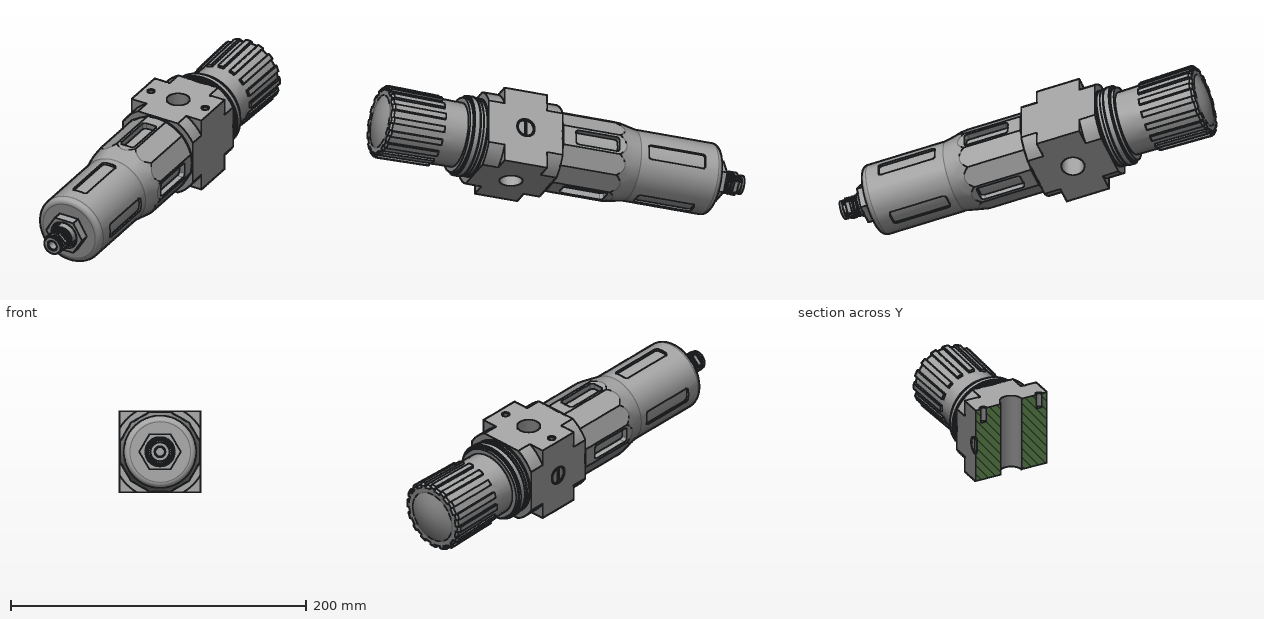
import cadquery as cq
import math

CROWN_Y = 133.4
KNOB_SHOULDER_Y = 130.0
RIB_END_Y = 91.2
COLLAR_TOP_Y = 74.1
BLOCK_CENTER_Y = 34.5
BLOCK_LENGTH = 54.0
BOWL_CONE_END_Y = -51.0
BOWL_BOTTOM_Y = -111.2
HEX_END_Y = -117.5
DRAIN_TIP_Y = -133.4

BLOCK_TOP_Y = BLOCK_CENTER_Y + BLOCK_LENGTH / 2
BLOCK_BOTTOM_Y = BLOCK_CENTER_Y - BLOCK_LENGTH / 2

SKIRT_RADIUS = 22.1
FLUTE_TOP_RADIUS = 23.2
KNOB_CHAMFER = 1.5
RIB_COUNT = 16
RIB_WIDTH = 4.0
RIB_TOP_RADIUS = 24.8
RIB_END_RADIUS = 24.0
CROWN_BASE_RADIUS = 18.1
CROWN_RISE = CROWN_Y - KNOB_SHOULDER_Y

BLOCK_WIDTH = 55.0
CORNER_RADIUS = 31.6
CORNER_CUT_LENGTH = 11.5
GRIP_RING_RADIUS = BLOCK_WIDTH / 2
GRIP_RING_CHAMFER = 0.8
COLLAR_STEPS = [
    (25.5, COLLAR_TOP_Y),
    (GRIP_RING_RADIUS, 72.0),
    (27.0, 66.7),
    (26.5, 64.5),
    (27.0, 62.1),
]
MAIN_PORT_DIAMETER = 15.7
SCREW_HOLE_DIAMETER = 4.0
SCREW_HOLE_RIM_DIAMETER = 5.3
SCREW_HOLE_DEPTH = 10.7
SCREW_HOLE_OFFSET = 21.3
PLUG_DIAMETER = 11.5
PLUG_RIM_DIAMETER = 13.0
PLUG_SLOT_WIDTH = 1.5
PLUG_SLOT_LENGTH = 9.5
PLUG_SLOT_DEPTH = 1.3

BOWL_RADIUS = 24.5
BOWL_LIP_RADIUS = 27.0
BOWL_LIP_HEIGHT = 0.8
BOWL_SIDES = 12
BOWL_APOTHEM = 27.0
BOWL_CORNER_RADIUS = BOWL_APOTHEM / math.cos(math.pi / BOWL_SIDES)
BOWL_CONE_START_Y = -34.7
BOWL_BOTTOM_FILLET = 4.0
WINDOW_WIDTH = 10.7
WINDOW_CORNER_RADIUS = 2.1
WINDOW_FLOOR_RADIUS = 23.0
WINDOW_SPANS = [(-34.1, -2.5), (-98.0, -56.5)]
WINDOW_COUNT = 4
HEX_HALF_FLATS = 11.7
HEX_HALF_CORNERS = 14.1
HEX_HALF_SIDE = 7.2
DRAIN_BORE_DIAMETER = 18.0
DRAIN_BORE_RIM_DIAMETER = 20.0

STEM_RADIUS = 7.87
STEM_GROOVE_RADIUS = 6.5
STEM_NECK_RADIUS = 5.5
STEM_FLAT_DISTANCE = 6.8
STEM_FLATS_START_Y = -120.5
STEM_GROOVES = [(-123.5, -122.0), (-126.0, -124.3)]
STEM_SLOT_WIDTH = 1.5
STEM_SLOT_FLOOR_RADIUS = 4.8
STEM_SHOULDER_Y = -129.0
STEM_TIP_RING_Y = -131.5
STEM_BORE_DIAMETER = 6.5
STEM_BORE_RIM_DIAMETER = 7.5
STEM_BORE_DEPTH = 13.3


def disc(radius, y_low, y_high):
    """Cylinder about the Y axis between two stations."""
    return cq.Workplane("XZ", origin=(0, y_high, 0)).circle(radius).extrude(y_high - y_low)


def turned(points):
    """Solid of revolution about Y from (radius, y) points, closed along the axis."""
    return cq.Workplane("XY").polyline(points).close().revolve(360, (0, 0, 0), (0, 1, 0))


def rimmed_hole(plane, origin, diameter, rim_diameter, depth):
    """Cutter for a blind hole with a 45 degree rim, running against the plane's normal."""
    rim_depth = (rim_diameter - diameter) / 2
    workplane = cq.Workplane(plane, origin=origin)
    hole = workplane.circle(diameter / 2).extrude(-depth)
    rim = workplane.circle(rim_diameter / 2).extrude(-rim_depth, taper=45)
    return hole.union(rim)


def make_knob():
    body = turned([
        (0, COLLAR_TOP_Y),
        (SKIRT_RADIUS, COLLAR_TOP_Y),
        (FLUTE_TOP_RADIUS, KNOB_SHOULDER_Y - KNOB_CHAMFER),
        (FLUTE_TOP_RADIUS - KNOB_CHAMFER, KNOB_SHOULDER_Y),
        (0, KNOB_SHOULDER_Y),
    ])

    rib_envelope = turned([
        (0, RIB_END_Y),
        (RIB_END_RADIUS, RIB_END_Y),
        (RIB_TOP_RADIUS, KNOB_SHOULDER_Y - KNOB_CHAMFER),
        (RIB_TOP_RADIUS - KNOB_CHAMFER, KNOB_SHOULDER_Y),
        (0, KNOB_SHOULDER_Y),
    ])
    bars = cq.Workplane("XY")
    rib_length = KNOB_SHOULDER_Y - RIB_END_Y
    for index in range(RIB_COUNT // 2):
        bar = (
            cq.Workplane("XY")
            .box(2 * RIB_TOP_RADIUS, rib_length, RIB_WIDTH)
            .translate((0, RIB_END_Y + rib_length / 2, 0))
            .rotate((0, 0, 0), (0, 1, 0), index * 360 / RIB_COUNT)
        )
        bars = bars.union(bar)
    body = body.union(bars.intersect(rib_envelope))

    sphere_radius = (CROWN_BASE_RADIUS**2 + CROWN_RISE**2) / (2 * CROWN_RISE)
    half_base = CROWN_BASE_RADIUS / 2
    half_y = CROWN_Y - sphere_radius + math.sqrt(sphere_radius**2 - half_base**2)
    crown = (
        cq.Workplane("XY")
        .moveTo(0, KNOB_SHOULDER_Y - KNOB_CHAMFER)
        .lineTo(CROWN_BASE_RADIUS, KNOB_SHOULDER_Y - KNOB_CHAMFER)
        .lineTo(CROWN_BASE_RADIUS, KNOB_SHOULDER_Y)
        .threePointArc((half_base, half_y), (0, CROWN_Y))
        .close()
        .revolve(360, (0, 0, 0), (0, 1, 0))
    )
    return body.union(crown)


def make_housing():
    block = cq.Workplane("XY").box(BLOCK_WIDTH, BLOCK_LENGTH, BLOCK_WIDTH).translate((0, BLOCK_CENTER_Y, 0))

    for end_y, inward in ((BLOCK_TOP_Y, -1), (BLOCK_BOTTOM_Y, 1)):
        low, high = sorted((end_y, end_y + inward * CORNER_CUT_LENGTH))
        ring = disc(BLOCK_WIDTH, low, high).cut(disc(CORNER_RADIUS, low, high))
        block = block.cut(ring)

    lower_ends = [upper_y for _, upper_y in COLLAR_STEPS[1:]] + [BLOCK_TOP_Y]
    for (radius, upper_y), lower_y in zip(COLLAR_STEPS, lower_ends):
        step = disc(radius, lower_y, upper_y)
        if radius == GRIP_RING_RADIUS:
            step = step.edges().chamfer(GRIP_RING_CHAMFER)
        block = block.union(step)

    port = (
        cq.Workplane("XY", origin=(0, BLOCK_CENTER_Y, 0))
        .circle(MAIN_PORT_DIAMETER / 2)
        .extrude(BLOCK_WIDTH / 2, both=True)
    )
    block = block.cut(port)
    for x in (-SCREW_HOLE_OFFSET, SCREW_HOLE_OFFSET):
        top_point = (x, BLOCK_CENTER_Y, BLOCK_WIDTH / 2)
        block = block.cut(
            rimmed_hole("XY", top_point, SCREW_HOLE_DIAMETER, SCREW_HOLE_RIM_DIAMETER, SCREW_HOLE_DEPTH)
        )
    return block.cut(plug_recess())


def plug_recess():
    """Conical ring around the plug face and the screwdriver slot across it, on the -X side."""
    face_x = -BLOCK_WIDTH / 2
    rim_depth = (PLUG_RIM_DIAMETER - PLUG_DIAMETER) / 2
    outward = cq.Workplane("YZ", origin=(face_x, BLOCK_CENTER_Y, 0))
    ring = outward.circle(PLUG_RIM_DIAMETER / 2).extrude(rim_depth, taper=45)
    ring = ring.cut(outward.circle(PLUG_DIAMETER / 2).extrude(rim_depth))
    slot = outward.rect(PLUG_SLOT_WIDTH, PLUG_SLOT_LENGTH).extrude(PLUG_SLOT_DEPTH)
    return ring.union(slot)


def make_bowl():
    prism_top_y = BLOCK_BOTTOM_Y - BOWL_LIP_HEIGHT
    cone_slope = (BOWL_CORNER_RADIUS - BOWL_RADIUS) / (BOWL_CONE_START_Y - BOWL_CONE_END_Y)
    cone_top_radius = BOWL_RADIUS + cone_slope * (prism_top_y - BOWL_CONE_END_Y)
    round_body = turned([
        (0, BOWL_BOTTOM_Y),
        (BOWL_RADIUS, BOWL_BOTTOM_Y),
        (BOWL_RADIUS, BOWL_CONE_END_Y),
        (cone_top_radius, prism_top_y),
        (0, prism_top_y),
    ])
    prism = (
        cq.Workplane("XZ", origin=(0, prism_top_y, 0))
        .polygon(BOWL_SIDES, 2 * BOWL_CORNER_RADIUS)
        .extrude(prism_top_y - BOWL_BOTTOM_Y)
        .rotate((0, 0, 0), (0, 1, 0), 180 / BOWL_SIDES)
    )
    bowl = round_body.intersect(prism).faces("<Y").edges().fillet(BOWL_BOTTOM_FILLET)
    bowl = bowl.union(disc(BOWL_LIP_RADIUS, prism_top_y, BLOCK_BOTTOM_Y))

    for low, high in WINDOW_SPANS:
        bowl = bowl.cut(window_cutter(low, high))
    return bowl.union(make_hex()).cut(drain_bore())


def window_cutter(low, high):
    """Four rounded pockets around the bowl that share one cylindrical floor."""
    cutter = cq.Workplane("XY")
    for index in range(WINDOW_COUNT):
        pocket = (
            cq.Workplane("XY")
            .box(WINDOW_WIDTH, high - low, BOWL_CORNER_RADIUS)
            .edges("|Z")
            .fillet(WINDOW_CORNER_RADIUS)
            .translate((0, (low + high) / 2, BOWL_CORNER_RADIUS / 2))
            .rotate((0, 0, 0), (0, 1, 0), index * 360 / WINDOW_COUNT)
        )
        cutter = cutter.union(pocket)
    return cutter.cut(disc(WINDOW_FLOOR_RADIUS, low, high))


def make_hex():
    return (
        cq.Workplane("XZ", origin=(0, BOWL_BOTTOM_Y, 0))
        .polyline([
            (HEX_HALF_CORNERS, 0),
            (HEX_HALF_SIDE, HEX_HALF_FLATS),
            (-HEX_HALF_SIDE, HEX_HALF_FLATS),
            (-HEX_HALF_CORNERS, 0),
            (-HEX_HALF_SIDE, -HEX_HALF_FLATS),
            (HEX_HALF_SIDE, -HEX_HALF_FLATS),
        ])
        .close()
        .extrude(BOWL_BOTTOM_Y - HEX_END_Y)
    )


def drain_bore():
    depth = BOWL_BOTTOM_Y - HEX_END_Y
    return rimmed_hole("XZ", (0, HEX_END_Y, 0), DRAIN_BORE_DIAMETER, DRAIN_BORE_RIM_DIAMETER, depth)


def make_drain():
    stem = disc(STEM_RADIUS, STEM_SHOULDER_Y, BOWL_BOTTOM_Y)
    for low, high in STEM_GROOVES:
        stem = stem.cut(disc(STEM_RADIUS, low, high).cut(disc(STEM_GROOVE_RADIUS, low, high)))

    flats_length = STEM_FLATS_START_Y - STEM_SHOULDER_Y
    square = (
        cq.Workplane("XY")
        .box(2 * STEM_FLAT_DISTANCE, flats_length, 2 * STEM_FLAT_DISTANCE)
        .translate((0, STEM_SHOULDER_Y + flats_length / 2, 0))
        .rotate((0, 0, 0), (0, 1, 0), 45)
    )
    stem = stem.cut(disc(STEM_RADIUS, STEM_SHOULDER_Y, STEM_FLATS_START_Y).cut(square))

    stem = stem.union(disc(STEM_NECK_RADIUS, DRAIN_TIP_Y, STEM_SHOULDER_Y))
    stem = stem.cut(stem_slots())
    stem = stem.union(disc(STEM_GROOVE_RADIUS, DRAIN_TIP_Y, STEM_TIP_RING_Y))
    return stem.cut(
        rimmed_hole("XZ", (0, DRAIN_TIP_Y, 0), STEM_BORE_DIAMETER, STEM_BORE_RIM_DIAMETER, STEM_BORE_DEPTH)
    )


def stem_slots():
    """Lengthwise slots through the four lobes, from the flats down to the tip ring."""
    length = STEM_FLATS_START_Y - STEM_TIP_RING_Y
    bar = cq.Workplane("XY").box(2 * STEM_RADIUS, length, STEM_SLOT_WIDTH)
    cross = bar.union(bar.rotate((0, 0, 0), (0, 1, 0), 90))
    cross = cross.translate((0, STEM_TIP_RING_Y + length / 2, 0))
    return cross.cut(disc(STEM_SLOT_FLOOR_RADIUS, STEM_TIP_RING_Y, STEM_FLATS_START_Y))


knob = make_knob()
housing = make_housing()
bowl = make_bowl()
drain = make_drain()

result = cq.Compound.makeCompound([knob.val(), housing.val(), bowl.val(), drain.val()])